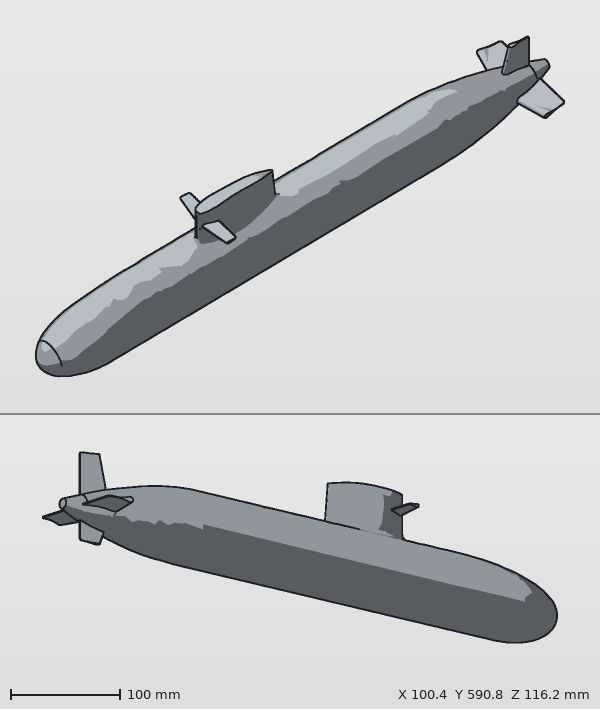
import cadquery as cq
import math


LENGTH = 590.76
HULL_RADIUS = 31.0
DECK_HEIGHT = 40.0
NOSE_CAP_END = 12.0
NOSE_LENGTH = 60.0
BOW_END = 136.5
TAIL_START = 448.0
CONE_START = 571.0
CONE_RADIUS = 11.8
STERN_RADIUS = 4.8
NOSE_STATIONS = [NOSE_CAP_END, 20.0, 32.0, 45.0, NOSE_LENGTH]
BOW_STATIONS = [NOSE_LENGTH, 80.0, 105.0, BOW_END]
TAIL_STEPS = 6

BOW_DECK_POWER = 2.5
TAIL_KEEL_POWER = 2.0
TAIL_DECK_POWER = 1.6
FLANK_HEIGHT = 9.5
FLANK_ANGLE = math.asin(FLANK_HEIGHT / HULL_RADIUS)
SHOULDER_ANGLE = math.radians(53.7)
SHOULDER_SHARE = 0.69

SAIL_ROOT = 30.0
SAIL_SHOULDER = 77.5
SAIL_TOP = 85.21
SAIL_FRONT = 183.2
SAIL_WIDEST = 220.0
SAIL_DECK_TAIL = 274.5
SAIL_SHOULDER_TAIL = 271.2
SAIL_DECK_HALF_WIDTH = 11.1
SAIL_SHOULDER_HALF_WIDTH = 8.8
SAIL_NOSE_HALF_WIDTH = 4.5
SAIL_NOSE_DEPTH = 2.25
SAIL_TAIL_RADIUS = 1.4
SAIL_TAIL_LEAN = 0.3
SAIL_NOSE_LEAN = 0.4
CROWN_INSETS = [(SAIL_SHOULDER, 0.0), (81.5, 0.6), (86.0, 2.5)]
SAIL_FRONT_TOP = 83.0
SAIL_REAR_TOP = 79.0
SAIL_FRONT_RISE = 0.1
SAIL_REAR_DROP = 0.2
SAIL_ROOT_FILLET = 6.0
SAIL_MARGIN = 10.0

BELLY_SHARE = 0.35
TRAILING_THICKNESS = 1.0
TIP_CORNER_RADIUS = 2.5
STERN_FIN_ROOT_THICKNESS = 4.2
STERN_FIN_TIP_THICKNESS = 2.4

STERN_PLANE_HALF_SPAN = 50.22
STERN_PLANE_TRAIL_SPAN = 47.5
STERN_PLANE_ROOT_LEAD = 535.4
STERN_PLANE_TIP_LEAD = 548.9
STERN_PLANE_TRAIL = 575.3

RUDDER_ROOT_LEAD = 534.5
RUDDER_TRAIL = 570.3
UPPER_RUDDER_SPAN = 54.6
UPPER_RUDDER_TRAIL_SPAN = 53.0
UPPER_RUDDER_TIP_LEAD = 547.3
LOWER_RUDDER_SPAN = HULL_RADIUS
LOWER_RUDDER_TIP_LEAD = 546.7

SAIL_PLANE_HEIGHT = 65.0
SAIL_PLANE_HALF_SPAN = 34.8
SAIL_PLANE_ROOT_LEAD = 185.0
SAIL_PLANE_TIP_LEAD = 191.0
SAIL_PLANE_TRAIL = 202.2
SAIL_PLANE_ROOT_THICKNESS = 5.0
SAIL_PLANE_TIP_THICKNESS = 2.5


def revolve_about_hull_axis(profile):
    return profile.close().revolve(360, (0, 0, 0), (0, 1, 0))


def nose_radius(y):
    ahead = max(0.0, 1 - y / NOSE_LENGTH)
    return HULL_RADIUS * math.sqrt(1 - ahead**2)


def bow_deck(y):
    ahead = 1 - y / BOW_END
    return max(nose_radius(y), DECK_HEIGHT * math.sqrt(1 - ahead**BOW_DECK_POWER))


def hull_section(y, radius, deck):
    """Round keel, leaning flanks and a crowned deck, split on the centre plane."""
    rise = deck / radius - 1
    shoulder_radius = radius * (1 + SHOULDER_SHARE * rise)
    bilge_angle = (FLANK_ANGLE - math.pi / 2) / 2
    keel = cq.Vector(0, y, -radius)
    crown = cq.Vector(0, y, deck)

    def half_section(side):
        def polar(distance, angle):
            return cq.Vector(side * distance * math.cos(angle), y, distance * math.sin(angle))

        flank = polar(radius, FLANK_ANGLE)
        shoulder = polar(shoulder_radius, SHOULDER_ANGLE)
        upward = cq.Vector(-side * math.sin(FLANK_ANGLE), 0, math.cos(FLANK_ANGLE))
        inward = cq.Vector(-side, 0, 0)
        lower = cq.Edge.makeThreePointArc(keel, polar(radius, bilge_angle), flank)
        upper = cq.Edge.makeSpline([flank, shoulder, crown], tangents=[upward, inward])
        return lower, upper

    right_lower, right_upper = half_section(1)
    left_lower, left_upper = half_section(-1)
    return cq.Wire.assembleEdges([right_lower, right_upper, left_upper, left_lower])


def loft(wires, ruled=False):
    return cq.Workplane(cq.Solid.makeLoft(wires, ruled))


def make_bow(stations):
    return loft([hull_section(y, nose_radius(y), bow_deck(y)) for y in stations])


def make_middle():
    ends = (BOW_END, TAIL_START)
    return loft([hull_section(y, HULL_RADIUS, DECK_HEIGHT) for y in ends], ruled=True)


def make_tail():
    sections = []
    for step in range(TAIL_STEPS + 1):
        share = step / TAIL_STEPS
        y = TAIL_START + share * (CONE_START - TAIL_START)
        radius = HULL_RADIUS - (HULL_RADIUS - CONE_RADIUS) * share**TAIL_KEEL_POWER
        deck = DECK_HEIGHT - (DECK_HEIGHT - CONE_RADIUS) * share**TAIL_DECK_POWER
        sections.append(hull_section(y, radius, deck))
    return loft(sections)


def make_nose_cap():
    radius = nose_radius(NOSE_CAP_END)
    middle = NOSE_CAP_END / 3
    slope = (HULL_RADIUS / NOSE_LENGTH) ** 2 * (NOSE_LENGTH - NOSE_CAP_END) / radius
    profile = (
        cq.Workplane("XY")
        .spline(
            [(0, 0), (nose_radius(middle), middle), (radius, NOSE_CAP_END)],
            tangents=[(1, 0), (slope, 1)],
        )
        .lineTo(0, NOSE_CAP_END)
    )
    return revolve_about_hull_axis(profile)


def make_stern_cone():
    profile = (
        cq.Workplane("XY")
        .moveTo(0, CONE_START)
        .lineTo(CONE_RADIUS, CONE_START)
        .lineTo(STERN_RADIUS, LENGTH)
        .lineTo(0, LENGTH)
    )
    return revolve_about_hull_axis(profile)


def make_hull():
    hull = make_middle()
    for piece in (
        make_bow(BOW_STATIONS),
        make_bow(NOSE_STATIONS),
        make_nose_cap(),
        make_tail(),
        make_stern_cone(),
    ):
        hull = hull.union(piece)
    return hull


def sail_outline(z, inset=0.0):
    """Blunt-nosed teardrop at height z; inset narrows its sides and tail."""
    up = (z - DECK_HEIGHT) / (SAIL_SHOULDER - DECK_HEIGHT)
    half = SAIL_DECK_HALF_WIDTH + up * (SAIL_SHOULDER_HALF_WIDTH - SAIL_DECK_HALF_WIDTH) - inset
    tail = SAIL_DECK_TAIL + up * (SAIL_SHOULDER_TAIL - SAIL_DECK_TAIL) - inset
    tail_side = tail - SAIL_TAIL_RADIUS
    nose_side = SAIL_FRONT + SAIL_NOSE_DEPTH
    half_edges = []
    for side in (1, -1):
        front_point = cq.Vector(0, SAIL_FRONT, z)
        nose_point = cq.Vector(side * SAIL_NOSE_HALF_WIDTH, nose_side, z)
        widest_point = cq.Vector(side * half, SAIL_WIDEST, z)
        tail_point = cq.Vector(side * SAIL_TAIL_RADIUS, tail_side, z)
        rear_point = cq.Vector(0, tail, z)
        outward = cq.Vector(side, 0, 0)
        nose_lean = cq.Vector(side * SAIL_NOSE_LEAN, 1, 0)
        tail_lean = cq.Vector(-side * SAIL_TAIL_LEAN, 1, 0)
        half_edges.append([
            cq.Edge.makeSpline([front_point, nose_point], tangents=[outward, nose_lean]),
            cq.Edge.makeSpline([nose_point, widest_point, tail_point], tangents=[nose_lean, tail_lean]),
            cq.Edge.makeSpline([tail_point, rear_point], tangents=[tail_lean, outward * -1]),
        ])
    right_edges, left_edges = half_edges
    return cq.Wire.assembleEdges(right_edges + left_edges[::-1])


def make_sail():
    sides = loft([sail_outline(SAIL_ROOT), sail_outline(SAIL_SHOULDER)], ruled=True)
    crown = loft([sail_outline(z, inset) for z, inset in CROWN_INSETS])
    block_front = SAIL_FRONT - SAIL_MARGIN
    block_rear = SAIL_DECK_TAIL + SAIL_MARGIN
    block_bottom = SAIL_ROOT - SAIL_MARGIN
    arched_block = (
        cq.Workplane("YZ")
        .moveTo(block_front, block_bottom)
        .lineTo(block_front, SAIL_FRONT_TOP)
        .lineTo(SAIL_FRONT, SAIL_FRONT_TOP)
        .spline([(SAIL_WIDEST, SAIL_TOP)], tangents=[(1, SAIL_FRONT_RISE), (1, 0)], includeCurrent=True)
        .spline(
            [(SAIL_SHOULDER_TAIL, SAIL_REAR_TOP)],
            tangents=[(1, 0), (1, -SAIL_REAR_DROP)],
            includeCurrent=True,
        )
        .lineTo(block_rear, SAIL_REAR_TOP)
        .lineTo(block_rear, block_bottom)
        .close()
        .extrude(SAIL_DECK_HALF_WIDTH + SAIL_MARGIN, both=True)
    )
    return sides.union(crown).intersect(arched_block)


def add_sail(hull):
    around = SAIL_ROOT_FILLET
    low_corner = (-SAIL_DECK_HALF_WIDTH - around, SAIL_FRONT - around, DECK_HEIGHT - around)
    high_corner = (SAIL_DECK_HALF_WIDTH + around, SAIL_DECK_TAIL + around, DECK_HEIGHT + around)
    root_edges = cq.selectors.BoxSelector(low_corner, high_corner)
    return hull.union(make_sail()).edges(root_edges).fillet(SAIL_ROOT_FILLET)


def foil_wire(lead, trail, thickness):
    """Teardrop section between two points of the XY plane, with its thickness along Z."""
    lead = cq.Vector(*lead)
    trail = cq.Vector(*trail)
    chord = trail - lead
    up = cq.Vector(0, 0, 1)
    belly = lead + chord * BELLY_SHARE
    trail_offset = up * (TRAILING_THICKNESS / 2)

    def face_edge(direction):
        points = [lead, belly + direction * (thickness / 2), trail + trail_offset.multiply(direction.z)]
        return cq.Edge.makeSpline(points, tangents=[direction, chord - direction])

    trailing_edge = cq.Edge.makeLine(trail + trail_offset, trail - trail_offset)
    return cq.Wire.assembleEdges([face_edge(up), trailing_edge, face_edge(up * -1)])


def make_fin(root, tip):
    """Fin spanning +X; root and tip are (leading point, trailing point, thickness)."""
    fin = loft([foil_wire(*root), foil_wire(*tip)], ruled=True)
    return fin.edges("|Z").edges(">X").fillet(TIP_CORNER_RADIUS)


def both_sides(fin):
    return fin.union(fin.mirror("YZ"))


def make_stern_planes():
    root = ((0, STERN_PLANE_ROOT_LEAD), (0, STERN_PLANE_TRAIL), STERN_FIN_ROOT_THICKNESS)
    tip = (
        (STERN_PLANE_HALF_SPAN, STERN_PLANE_TIP_LEAD),
        (STERN_PLANE_TRAIL_SPAN, STERN_PLANE_TRAIL),
        STERN_FIN_TIP_THICKNESS,
    )
    return both_sides(make_fin(root, tip))


def make_rudder(lead_span, trail_span, tip_lead, turn):
    """Rudder on the centre plane, turned about the hull axis from +X."""
    root = ((0, RUDDER_ROOT_LEAD), (0, RUDDER_TRAIL), STERN_FIN_ROOT_THICKNESS)
    tip = ((lead_span, tip_lead), (trail_span, RUDDER_TRAIL), STERN_FIN_TIP_THICKNESS)
    return make_fin(root, tip).rotate((0, 0, 0), (0, 1, 0), turn)


def make_sail_planes():
    root = ((0, SAIL_PLANE_ROOT_LEAD), (0, SAIL_PLANE_TRAIL), SAIL_PLANE_ROOT_THICKNESS)
    tip = (
        (SAIL_PLANE_HALF_SPAN, SAIL_PLANE_TIP_LEAD),
        (SAIL_PLANE_HALF_SPAN, SAIL_PLANE_TRAIL),
        SAIL_PLANE_TIP_THICKNESS,
    )
    return both_sides(make_fin(root, tip)).translate((0, 0, SAIL_PLANE_HEIGHT))


upper_rudder = make_rudder(UPPER_RUDDER_SPAN, UPPER_RUDDER_TRAIL_SPAN, UPPER_RUDDER_TIP_LEAD, -90)
lower_rudder = make_rudder(LOWER_RUDDER_SPAN, LOWER_RUDDER_SPAN, LOWER_RUDDER_TIP_LEAD, 90)

submarine = add_sail(make_hull())
for fins in (make_stern_planes(), upper_rudder, lower_rudder, make_sail_planes()):
    submarine = submarine.union(fins)
result = submarine.solids()